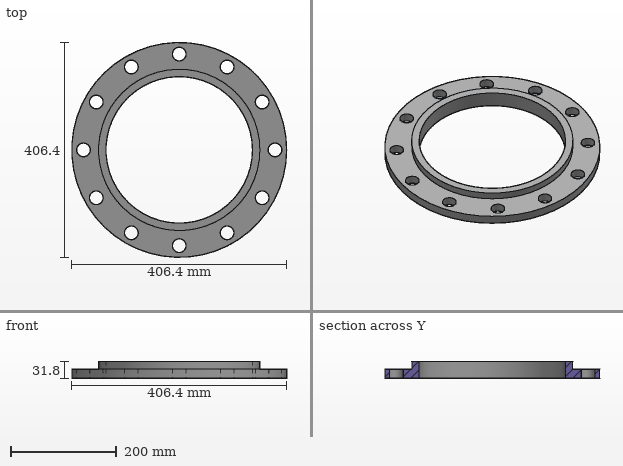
import cadquery as cq

flange_diameter = 406.4
hub_diameter = 304.8
bore_diameter = 276.35
overall_height = 31.75
plate_thickness = 17.5

bolt_circle_diameter = 361.95
bolt_hole_diameter = 25.4
bolt_hole_count = 12


def flange_body():
    """Flat round plate standing on Z = 0 with the hub rising from its top face."""
    plate = cq.Workplane("XY").circle(flange_diameter / 2).extrude(plate_thickness)
    hub = cq.Workplane("XY").circle(hub_diameter / 2).extrude(overall_height)
    return plate.union(hub)


def bore():
    """Cylinder that opens the centre through plate and hub."""
    return cq.Workplane("XY").circle(bore_diameter / 2).extrude(overall_height)


def bolt_holes():
    """Evenly spaced cylinders through the plate, the first one on the +X axis."""
    return (
        cq.Workplane("XY")
        .polarArray(bolt_circle_diameter / 2, 0, 360, bolt_hole_count)
        .circle(bolt_hole_diameter / 2)
        .extrude(plate_thickness)
    )


result = flange_body().cut(bore()).cut(bolt_holes())